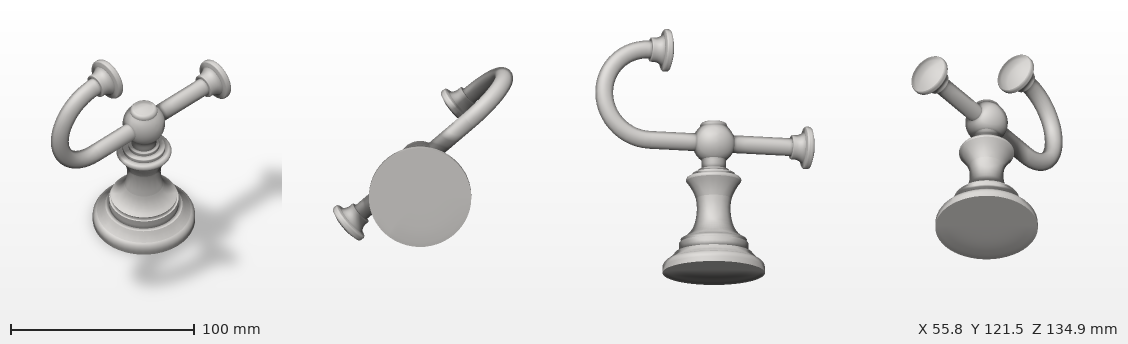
import cadquery as cq

BASE_RADIUS = 27.9
BASE_WALL_HEIGHT = 2.8
SHOULDER_RADIUS = 25.5
SHOULDER_HEIGHT = 6.6
SHOULDER_BULGE = 0.7
BASE_COVE_HOLLOW = 0.3
BASE_TOP_RADIUS = 21.0
BASE_TOP_HEIGHT = 11.0
DRUM_RADIUS = 18.9
DRUM_TOP = 16.5
BEAD_RADIUS = 18.1
BEAD_TOP = 18.6
BEAD_HOLLOW = 0.4
LOWER_FLARE_RADIUS = 10.5
LOWER_FLARE_TOP = 27.3
LOWER_FLARE_HOLLOW = 1.2
WAIST_RADIUS = 9.2
WAIST_HEIGHT = 35.3
UPPER_FLARE_RADIUS = 9.7
UPPER_FLARE_BOTTOM = 41.5
UPPER_FLARE_HOLLOW = 0.5
COLLAR_RADIUS = 15.0
COLLAR_BOTTOM = 51.3
COLLAR_TOP = 53.5
COLLAR_TOP_RADIUS = 13.8
COLLAR_BULGE = 0.5
MIDDLE_STEP_RADIUS = 11.6
MIDDLE_STEP_TOP = 55.7
TOP_STEP_RADIUS = 8.5
TOP_STEP_TOP = 57.7
STEP_EDGE_RADIUS = 0.4
STEM_RADIUS = 6.7

ARM_HEIGHT = 72.7
BALL_RADIUS = 11.6
BUTTON_RADIUS = 7.4
BUTTON_EDGE_RADIUS = 2.2
BUTTON_RIM_HEIGHT = 84.2
BUTTON_DOME_HEIGHT = 0.7

ROD_RADIUS = 4.9
ARM_TIP = 55.6
HOOK_TIP = -22.8
HOOK_NECK_GAP = 0.4

FINIAL_RADIUS = 11.6
FINIAL_EDGE_RADIUS = 11.0
FINIAL_DOME_HEIGHT = 2.0
FINIAL_RIM_START = 3.2
FINIAL_RIM_END = 4.5
FINIAL_BACK = 5.4
FINIAL_FLARE_START = 6.1
FINIAL_FLARE_RADIUS = 8.5
FINIAL_FLARE_END = 11.0
FINIAL_FLARE_HOLLOW = 0.5
FINIAL_BEVEL = 0.1
FINIAL_NECK_RADIUS = 6.6
FINIAL_LENGTH = 12.5
FINIAL_NECK_EDGE = 0.4

OVERALL_HEIGHT = 134.9
HOOK_TOP = OVERALL_HEIGHT - FINIAL_RADIUS
BEND_RADIUS = (HOOK_TOP - ARM_HEIGHT) / 2
BEND_START = HOOK_TIP - FINIAL_LENGTH - HOOK_NECK_GAP


def rounded_step(profile, radius, top, edge):
    """Rise to a flat step of the given radius and height with a rounded rim."""
    return profile.lineTo(radius, top - edge).radiusArc((radius - edge, top), -edge)


def make_post():
    """Base, waisted column, collar, steps and stem as one turned shape."""
    profile = (
        cq.Workplane("XZ")
        .lineTo(BASE_RADIUS, 0)
        .lineTo(BASE_RADIUS, BASE_WALL_HEIGHT)
        .sagittaArc((SHOULDER_RADIUS, SHOULDER_HEIGHT), -SHOULDER_BULGE)
        .sagittaArc((BASE_TOP_RADIUS, BASE_TOP_HEIGHT), BASE_COVE_HOLLOW)
        .lineTo(DRUM_RADIUS, BASE_TOP_HEIGHT)
        .lineTo(DRUM_RADIUS, DRUM_TOP)
        .lineTo(BEAD_RADIUS, DRUM_TOP)
        .sagittaArc((BEAD_RADIUS, BEAD_TOP), BEAD_HOLLOW)
        .sagittaArc((LOWER_FLARE_RADIUS, LOWER_FLARE_TOP), LOWER_FLARE_HOLLOW)
        .threePointArc((WAIST_RADIUS, WAIST_HEIGHT), (UPPER_FLARE_RADIUS, UPPER_FLARE_BOTTOM))
        .sagittaArc((COLLAR_RADIUS, COLLAR_BOTTOM), UPPER_FLARE_HOLLOW)
        .sagittaArc((COLLAR_TOP_RADIUS, COLLAR_TOP), -COLLAR_BULGE)
        .lineTo(MIDDLE_STEP_RADIUS, COLLAR_TOP)
    )
    profile = rounded_step(profile, MIDDLE_STEP_RADIUS, MIDDLE_STEP_TOP, STEP_EDGE_RADIUS)
    profile = profile.lineTo(TOP_STEP_RADIUS, MIDDLE_STEP_TOP)
    profile = rounded_step(profile, TOP_STEP_RADIUS, TOP_STEP_TOP, STEP_EDGE_RADIUS)
    profile = (
        profile.lineTo(STEM_RADIUS, TOP_STEP_TOP)
        .lineTo(STEM_RADIUS, ARM_HEIGHT)
        .lineTo(0, ARM_HEIGHT)
        .close()
    )
    return profile.revolve(360, (0, 0), (0, 1))


def make_ball():
    """Ball centred on the arm, with a round-edged, domed button on top."""
    ball = cq.Workplane("XY").sphere(BALL_RADIUS).translate((0, 0, ARM_HEIGHT))
    rim_radius = BUTTON_RADIUS - BUTTON_EDGE_RADIUS
    dome_radius = (rim_radius**2 + BUTTON_DOME_HEIGHT**2) / (2 * BUTTON_DOME_HEIGHT)
    button = (
        cq.Workplane("XZ")
        .moveTo(0, ARM_HEIGHT)
        .lineTo(BUTTON_RADIUS, ARM_HEIGHT)
        .lineTo(BUTTON_RADIUS, BUTTON_RIM_HEIGHT - BUTTON_EDGE_RADIUS)
        .radiusArc((rim_radius, BUTTON_RIM_HEIGHT), -BUTTON_EDGE_RADIUS)
        .radiusArc((0, BUTTON_RIM_HEIGHT + BUTTON_DOME_HEIGHT), -dome_radius)
        .close()
        .revolve(360, (0, 0), (0, 1))
    )
    return ball.union(button)


def make_arm():
    """Rod swept along the straight arm, around the bend and into the hook finial."""
    path = (
        cq.Workplane("YZ")
        .moveTo(ARM_TIP - FINIAL_BACK, ARM_HEIGHT)
        .lineTo(BEND_START, ARM_HEIGHT)
        .threePointArc(
            (BEND_START - BEND_RADIUS, ARM_HEIGHT + BEND_RADIUS),
            (BEND_START, HOOK_TOP),
        )
        .lineTo(HOOK_TIP - FINIAL_BACK, HOOK_TOP)
    )
    return (
        cq.Workplane("XZ", origin=(0, ARM_TIP - FINIAL_BACK, ARM_HEIGHT))
        .circle(ROD_RADIUS)
        .sweep(path)
    )


def make_finial(tip_y, height):
    """Mushroom finial on a Y axis, its domed tip facing +Y at tip_y."""
    dome_radius = (FINIAL_EDGE_RADIUS**2 + FINIAL_DOME_HEIGHT**2) / (2 * FINIAL_DOME_HEIGHT)
    return (
        cq.Workplane("XY")
        .radiusArc((FINIAL_EDGE_RADIUS, -FINIAL_DOME_HEIGHT), dome_radius)
        .sagittaArc((FINIAL_RADIUS, -FINIAL_RIM_START), FINIAL_BEVEL)
        .lineTo(FINIAL_RADIUS, -FINIAL_RIM_END)
        .sagittaArc((FINIAL_EDGE_RADIUS, -FINIAL_BACK), FINIAL_BEVEL)
        .lineTo(FINIAL_FLARE_RADIUS, -FINIAL_FLARE_START)
        .sagittaArc((FINIAL_NECK_RADIUS, -FINIAL_FLARE_END), -FINIAL_FLARE_HOLLOW)
        .lineTo(FINIAL_NECK_RADIUS, FINIAL_NECK_EDGE - FINIAL_LENGTH)
        .radiusArc((FINIAL_NECK_RADIUS - FINIAL_NECK_EDGE, -FINIAL_LENGTH), FINIAL_NECK_EDGE)
        .lineTo(0, -FINIAL_LENGTH)
        .close()
        .revolve(360, (0, 0), (0, 1))
        .translate((0, tip_y, height))
    )


result = (
    make_post()
    .union(make_ball())
    .union(make_arm())
    .union(make_finial(ARM_TIP, ARM_HEIGHT))
    .union(make_finial(HOOK_TIP, HOOK_TOP))
)